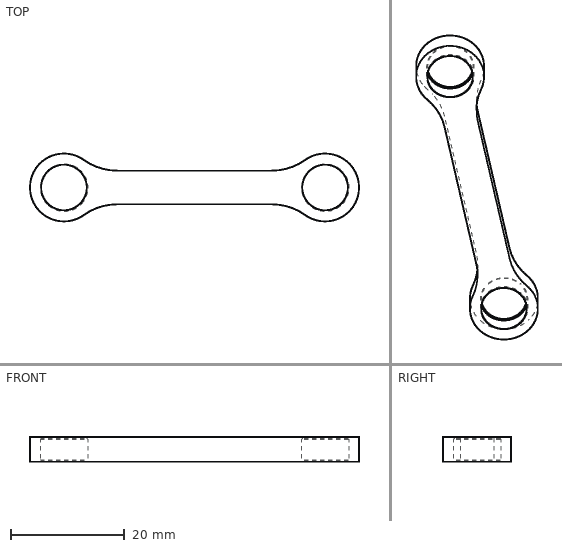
import cadquery as cq
import math

length = 58.0
eye_diameter = 12.0
bore_diameter = 8.0
bar_width = 6.0
thickness = 4.4
blend_radius = 10.0
lip_height = 0.2
recess_depth = 0.2

eye_radius = eye_diameter / 2
eye_x = length / 2 - eye_radius
half_width = bar_width / 2

blend_y = half_width + blend_radius
center_distance = eye_radius + blend_radius
blend_dx = math.sqrt(center_distance**2 - blend_y**2)
eye_share = eye_radius / center_distance
eye_tangent = (eye_x - blend_dx * eye_share, blend_y * eye_share)
bar_tangent = (eye_x - blend_dx, half_width)

half_sweep = math.atan2(blend_dx, blend_y) / 2
blend_middle = (
    eye_x - blend_dx + blend_radius * math.sin(half_sweep),
    blend_y - blend_radius * math.cos(half_sweep),
)


def mirrored(point, x_sign, y_sign):
    """Point with its coordinates multiplied by the given signs."""
    return (x_sign * point[0], y_sign * point[1])


def link_body():
    """Straight bar flaring through concave blends into two round eyes."""
    return (
        cq.Workplane("XY")
        .workplane(offset=-thickness / 2)
        .moveTo(*mirrored(bar_tangent, -1, 1))
        .lineTo(*bar_tangent)
        .threePointArc(blend_middle, eye_tangent)
        .threePointArc((length / 2, 0), mirrored(eye_tangent, 1, -1))
        .threePointArc(mirrored(blend_middle, 1, -1), mirrored(bar_tangent, 1, -1))
        .lineTo(*mirrored(bar_tangent, -1, -1))
        .threePointArc(mirrored(blend_middle, -1, -1), mirrored(eye_tangent, -1, -1))
        .threePointArc((-length / 2, 0), mirrored(eye_tangent, -1, 1))
        .threePointArc(mirrored(blend_middle, -1, 1), mirrored(bar_tangent, -1, 1))
        .close()
        .extrude(thickness)
    )


def eye_bore(x):
    """Through bore, slightly wider between its end lips, with 45-degree tapers at the lips."""
    bore_radius = bore_diameter / 2
    recess_radius = bore_radius + recess_depth
    half_thickness = thickness / 2
    lip_z = half_thickness - lip_height
    recess_z = lip_z - recess_depth
    return (
        cq.Workplane("XZ")
        .moveTo(0, -half_thickness)
        .lineTo(bore_radius, -half_thickness)
        .lineTo(bore_radius, -lip_z)
        .lineTo(recess_radius, -recess_z)
        .lineTo(recess_radius, recess_z)
        .lineTo(bore_radius, lip_z)
        .lineTo(bore_radius, half_thickness)
        .lineTo(0, half_thickness)
        .close()
        .revolve(360, (0, 0), (0, 1))
        .translate((x, 0, 0))
    )


result = link_body()
for bore_x in (-eye_x, eye_x):
    result = result.cut(eye_bore(bore_x))